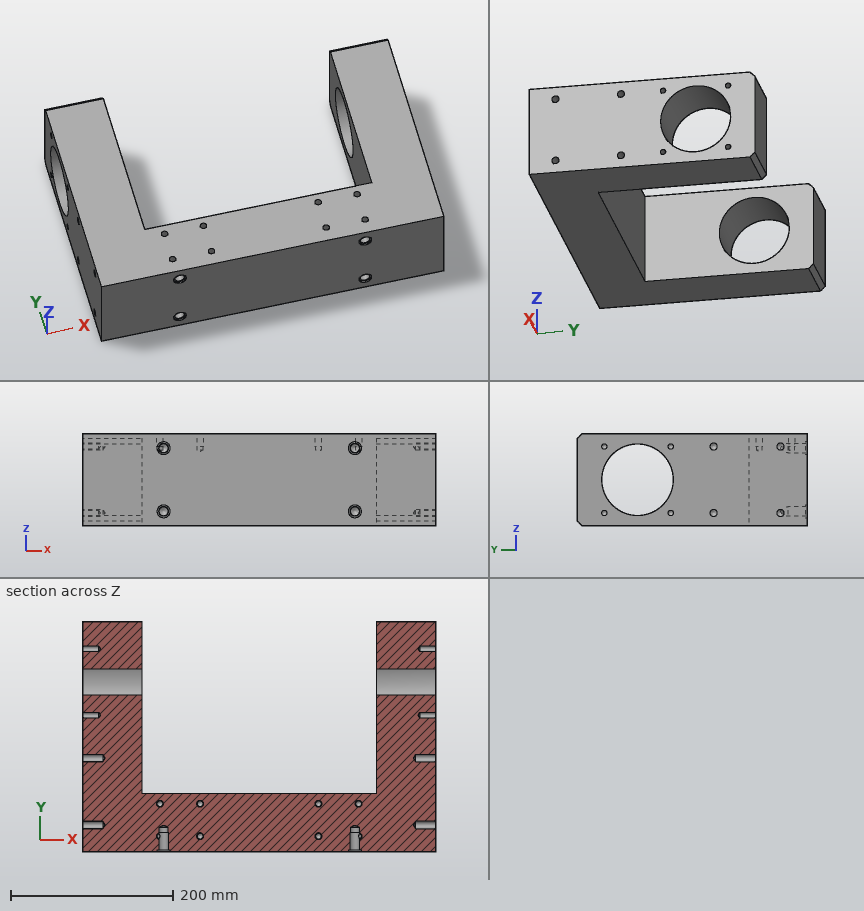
import math

import cadquery as cq

width = 436.0
depth = 284.0
height = 113.8
arm_width = 73.5
back_thickness = 72.0
arm_tip_chamfer = 6.0

half_width = width / 2
half_height = height / 2
back_y = -depth / 2
tip_y = depth / 2
back_inner_y = back_y + back_thickness

bore_diameter = 88.0
bore_y = tip_y - 74.5
bore_bolt_spacing = 82.0
bore_bolt_diameter = 6.6
bore_bolt_depth = 20.0

side_hole_diameter = 8.8
side_hole_depth = 25.0
side_hole_spacing_y = 82.5
side_hole_spacing_z = bore_bolt_spacing
side_hole_center_y = back_y + 74.35

top_hole_diameter = 8.0
top_hole_depth = 16.0
top_core_diameter = 7.0
top_core_depth = 20.0
top_hole_spacing_x = 49.5
top_hole_spacing_y = 40.0
top_group_offset_x = 97.75
top_hole_center_y = back_inner_y - 32.7

back_hole_diameter = 12.0
back_hole_depth = 24.0
back_core_diameter = 11.0
back_core_depth = 30.0
counterbore_diameter = 16.0
counterbore_depth = 2.0
back_hole_spacing_x = 236.0
back_hole_spacing_z = 78.0

drill_point_angle = 118.0


def grid_offsets(spacing_a, spacing_b):
    """Corners of a centred rectangle, as pairs of offsets."""
    return [(a * spacing_a / 2, b * spacing_b / 2) for a in (-1, 1) for b in (-1, 1)]


def drill(location, direction, diameter, hole_depth):
    """Cutter for a blind hole that ends in a conical drill point."""
    radius = diameter / 2
    point_length = radius / math.tan(math.radians(drill_point_angle / 2))
    start = cq.Vector(*location)
    axis = cq.Vector(*direction)
    shank = cq.Solid.makeCylinder(radius, hole_depth, start, axis)
    point = cq.Solid.makeCone(radius, 0, point_length, start + axis * hole_depth, axis)
    return shank.fuse(point)


def flat_hole(location, direction, diameter, hole_depth):
    """Cutter for a flat-bottomed round hole."""
    return cq.Solid.makeCylinder(diameter / 2, hole_depth, cq.Vector(*location), cq.Vector(*direction))


def frame():
    """U-shaped body with chamfered arm tips."""
    body = cq.Workplane("XY").box(width, depth, height)
    body = body.faces(">Y").edges("|X").chamfer(arm_tip_chamfer)
    opening_depth = depth - back_thickness
    opening = (
        cq.Workplane("XY")
        .box(width - 2 * arm_width, opening_depth, height)
        .translate((0, back_inner_y + opening_depth / 2, 0))
    )
    return body.cut(opening)


def arm_bore():
    """Cutter for the bore that runs across both arms."""
    return flat_hole((-half_width, bore_y, 0), (1, 0, 0), bore_diameter, width)


def arm_side_holes():
    """Cutters for the blind holes in the outer faces of both arms."""
    cutters = []
    for side in (-1, 1):
        inward = (-side, 0, 0)
        face_x = side * half_width
        for dy, z in grid_offsets(bore_bolt_spacing, bore_bolt_spacing):
            cutters.append(drill((face_x, bore_y + dy, z), inward, bore_bolt_diameter, bore_bolt_depth))
        for dy, z in grid_offsets(side_hole_spacing_y, side_hole_spacing_z):
            location = (face_x, side_hole_center_y + dy, z)
            cutters.append(drill(location, inward, side_hole_diameter, side_hole_depth))
    return cutters


def top_holes():
    """Cutters for the two groups of stepped blind holes on top of the back."""
    downward = (0, 0, -1)
    cutters = []
    for side in (-1, 1):
        for dx, dy in grid_offsets(top_hole_spacing_x, top_hole_spacing_y):
            location = (side * top_group_offset_x + dx, top_hole_center_y + dy, half_height)
            cutters.append(flat_hole(location, downward, top_hole_diameter, top_hole_depth))
            cutters.append(drill(location, downward, top_core_diameter, top_core_depth))
    return cutters


def back_holes():
    """Cutters for the counterbored, stepped blind holes in the back face."""
    inward = (0, 1, 0)
    cutters = []
    for x, z in grid_offsets(back_hole_spacing_x, back_hole_spacing_z):
        location = (x, back_y, z)
        cutters.append(flat_hole(location, inward, counterbore_diameter, counterbore_depth))
        cutters.append(flat_hole(location, inward, back_hole_diameter, back_hole_depth))
        cutters.append(drill(location, inward, back_core_diameter, back_core_depth))
    return cutters


result = frame().cut(cq.Workplane(arm_bore()))
for cutter in arm_side_holes() + top_holes() + back_holes():
    result = result.cut(cq.Workplane(cutter))